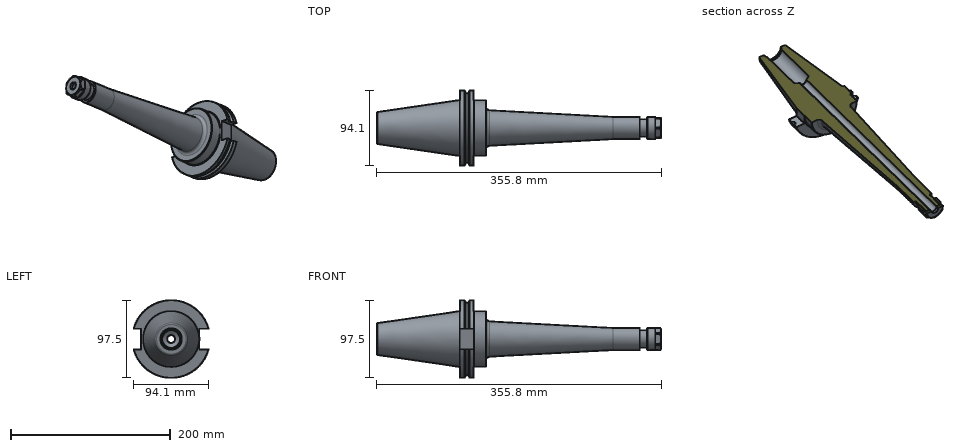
import cadquery as cq
import math


TAPER_END = 102.8
FLANGE_START = 104.0
FLANGE_END = 121.0
COLLAR_END = 136.5
SHANK_END = 295.3
NECK_START = 329.0
NUT_START = 337.5
HEX_START = 348.3
TOTAL_LENGTH = 355.8

TAPER_LARGE_DIA = 70.0
COLLAR_DIA = 69.7
FLANGE_DIA = 97.5
SHANK_ROOT_DIA = 45.2
NOSE_DIA = 28.0
NECK_DIA = 22.0
TAPER_RATIO = 7 / 24
TAPER_SMALL_DIA = TAPER_LARGE_DIA - TAPER_RATIO * TAPER_END

MATCH_TOLERANCE = 0.005

TAPER_EDGE_RADIUS = 1.8
COLLAR_CHAMFER = 0.7
SHANK_FILLET = 4.3
COLLAR_ROOT_FILLET = 0.7

GROOVE_CENTRE = 112.8
GROOVE_DEPTH = 3.2
GROOVE_FLOOR_WIDTH = 3.0
GROOVE_FLANK_ANGLE = 30

SLOT_WIDTH = 25.5
SLOT_FLOOR_FRONT = 35.2
SLOT_FLOOR_BACK = 37.7

BORE_MOUTH_DIA = 27.0
COUNTERBORE_DIA = 25.0
COUNTERBORE_DEPTH = 3.5
BORE_DIA = 22.0
BORE_DEPTH = 64.0
COOLANT_DIA = 9.5
BORE_TIP_ANGLE = 118

NUT_CHAMFER = 1.0
HEX_SIDES = 6
HEX_ACROSS_FLATS = 25.3
NUT_FACE_DIA = 23.5
NUT_FACE_ANGLE = 30
NUT_LIP = 3.5


def revolve_about_x(points):
    """Turn a closed outline of (x, radius) points about the tool axis."""
    return cq.Workplane("XY").polyline(points).close().revolve(360, (0, 0, 0), (1, 0, 0))


def cylinder_along_x(start, end, diameter):
    return cq.Workplane("YZ", origin=(start, 0, 0)).circle(diameter / 2).extrude(end - start)


def holder_blank():
    outline = [
        (0, 0),
        (0, TAPER_SMALL_DIA / 2),
        (TAPER_END, TAPER_LARGE_DIA / 2),
        (FLANGE_START, TAPER_LARGE_DIA / 2),
        (FLANGE_START, FLANGE_DIA / 2),
        (FLANGE_END, FLANGE_DIA / 2),
        (FLANGE_END, COLLAR_DIA / 2),
        (COLLAR_END, COLLAR_DIA / 2),
        (COLLAR_END, SHANK_ROOT_DIA / 2),
        (SHANK_END, NOSE_DIA / 2),
        (NECK_START, NOSE_DIA / 2),
        (NECK_START, NECK_DIA / 2),
        (TOTAL_LENGTH - NUT_LIP, NECK_DIA / 2),
        (TOTAL_LENGTH - NUT_LIP, 0),
    ]
    return revolve_about_x(outline)


class CircleEdge(cq.Selector):
    """Pick the circular edge of a given diameter at station x."""

    def __init__(self, x, diameter):
        self.x = x
        self.radius = diameter / 2

    def filter(self, objects):
        return [
            edge
            for edge in objects
            if edge.geomType() == "CIRCLE"
            and math.isclose(edge.Center().x, self.x, abs_tol=MATCH_TOLERANCE)
            and math.isclose(edge.radius(), self.radius, abs_tol=MATCH_TOLERANCE)
        ]


def soften_holder_edges(body):
    body = body.edges(CircleEdge(0, TAPER_SMALL_DIA)).fillet(TAPER_EDGE_RADIUS)
    body = body.edges(CircleEdge(FLANGE_END, COLLAR_DIA)).fillet(COLLAR_ROOT_FILLET)
    body = body.edges(CircleEdge(COLLAR_END, COLLAR_DIA)).chamfer(COLLAR_CHAMFER)
    return body.edges(CircleEdge(COLLAR_END, SHANK_ROOT_DIA)).fillet(SHANK_FILLET)


def gripper_groove():
    floor_half = GROOVE_FLOOR_WIDTH / 2
    top_half = floor_half + GROOVE_DEPTH * math.tan(math.radians(GROOVE_FLANK_ANGLE))
    rim = FLANGE_DIA / 2
    floor = rim - GROOVE_DEPTH
    outline = [
        (GROOVE_CENTRE - top_half, rim),
        (GROOVE_CENTRE - floor_half, floor),
        (GROOVE_CENTRE + floor_half, floor),
        (GROOVE_CENTRE + top_half, rim),
    ]
    return revolve_about_x(outline)


def drive_slot(side, floor):
    """Slot across the flange; side is +1 or -1 along Y."""
    depth = FLANGE_DIA / 2 - floor
    return cq.Workplane("XY").box(FLANGE_END - FLANGE_START, depth, SLOT_WIDTH).translate(
        ((FLANGE_START + FLANGE_END) / 2, side * (floor + depth / 2), 0)
    )


def holder_bore():
    chamfer = (BORE_MOUTH_DIA - COUNTERBORE_DIA) / 2
    step = (COUNTERBORE_DIA - BORE_DIA) / 2
    tip = (BORE_DIA - COOLANT_DIA) / 2 / math.tan(math.radians(BORE_TIP_ANGLE / 2))
    outline = [
        (0, 0),
        (0, BORE_MOUTH_DIA / 2),
        (chamfer, COUNTERBORE_DIA / 2),
        (COUNTERBORE_DEPTH, COUNTERBORE_DIA / 2),
        (COUNTERBORE_DEPTH + step, BORE_DIA / 2),
        (BORE_DEPTH, BORE_DIA / 2),
        (BORE_DEPTH + tip, COOLANT_DIA / 2),
        (TOTAL_LENGTH, COOLANT_DIA / 2),
        (TOTAL_LENGTH, 0),
    ]
    return revolve_about_x(outline)


holder = soften_holder_edges(holder_blank())
holder = holder.cut(gripper_groove())
holder = holder.cut(drive_slot(-1, SLOT_FLOOR_FRONT))
holder = holder.cut(drive_slot(1, SLOT_FLOOR_BACK))
holder = holder.cut(holder_bore())


def nut_envelope():
    face_drop = (NOSE_DIA - NUT_FACE_DIA) / 2
    face_length = face_drop * math.tan(math.radians(NUT_FACE_ANGLE))
    outline = [
        (NUT_START, 0),
        (NUT_START, NOSE_DIA / 2 - NUT_CHAMFER),
        (NUT_START + NUT_CHAMFER, NOSE_DIA / 2),
        (TOTAL_LENGTH - face_length, NOSE_DIA / 2),
        (TOTAL_LENGTH, NUT_FACE_DIA / 2),
        (TOTAL_LENGTH, 0),
    ]
    return revolve_about_x(outline)


def nut_wrench_form():
    """Round sleeve followed by a hexagon with two corners on the Z axis."""
    across_corners = HEX_ACROSS_FLATS / math.cos(math.pi / HEX_SIDES)
    sleeve = cylinder_along_x(NUT_START, HEX_START, NOSE_DIA)
    hexagon = (
        cq.Workplane("YZ", origin=(HEX_START, 0, 0))
        .transformed(rotate=(0, 0, 90))
        .polygon(HEX_SIDES, across_corners)
        .extrude(TOTAL_LENGTH - HEX_START)
    )
    return sleeve.union(hexagon)


nut = nut_envelope().intersect(nut_wrench_form())
nut = nut.cut(cylinder_along_x(NUT_START, TOTAL_LENGTH - NUT_LIP, NECK_DIA))
nut = nut.cut(cylinder_along_x(NUT_START, TOTAL_LENGTH, COOLANT_DIA))

result = cq.Compound.makeCompound([holder.val(), nut.val()])